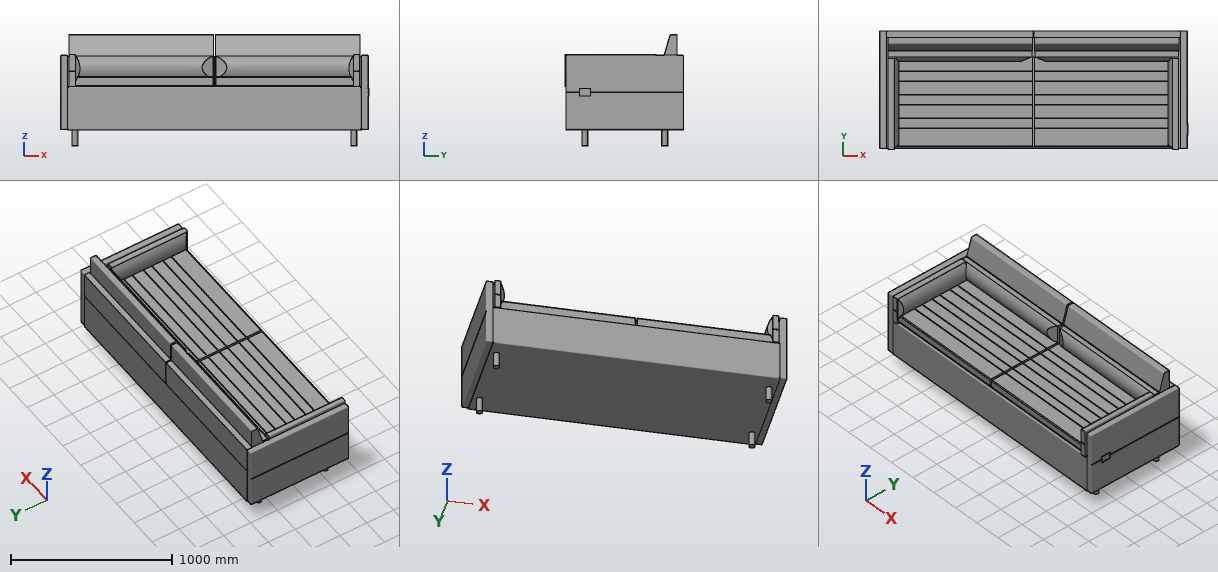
import cadquery as cq

TOTAL_LENGTH = 1915.0
TOTAL_DEPTH = 737.0
TOTAL_HEIGHT = 691.0
REAR_Y = TOTAL_DEPTH / 2
FRONT_Y = -TOTAL_DEPTH / 2

LEG_DIAMETER = 38.0
LEG_HEIGHT = 98.0
LEG_X = 865.0
LEG_REAR_INSET = 117.0
LEG_SPACING_Y = 496.0

LABEL_THICKNESS = 4.0
LABEL_WIDTH = 69.0
LABEL_HEIGHT = 46.0
LABEL_REAR_INSET = 613.0
PANEL_OUTER_X = (TOTAL_LENGTH - LABEL_THICKNESS) / 2
PANEL_THICKNESS = 45.0
PANEL_BOTTOM_Z = 101.0
PANEL_TOP_Z = 563.0
PANEL_FRONT_SETBACK = 5.0
PANEL_ROUNDING = 8.0
PANEL_MID_Z = (PANEL_BOTTOM_Z + PANEL_TOP_Z) / 2
PANEL_FRONT_Y = FRONT_Y + PANEL_FRONT_SETBACK
SEAM_WIDTH = 3.0
SEAM_DEPTH = 2.0

BASE_HALF_LENGTH = PANEL_OUTER_X - PANEL_THICKNESS
BASE_TOP_Z = 368.0
BASE_ROUNDING = 8.0

PAD_OUTER_X = 902.0
PAD_INNER_X = 864.0
PAD_TOP_Z = 569.0
PAD_REAR_Y = REAR_Y - 170.0
PAD_ROUNDING = 8.0
PAD_BULGE = 29.0
PAD_BULGE_TAPER = 23.0
PAD_SEAM_Z = 463.0

SEAT_TOP_Z = 430.0
SEAT_FRONT_SETBACK = 10.0
SEAT_TOP_ROUNDING = 11.0
SEAT_BOTTOM_ROUNDING = 4.0
PIPING_RADIUS = 4.8
SEAT_PLINTH_HEIGHT = 8.0
SEAT_PLINTH_SETBACK = 5.0
SEAT_GAP = 13.0
SEAT_GAP_BOTTOM_Z = 383.0
TUFT_PITCH = 145.0
TUFT_ROWS = 3
TUFT_FIRST_INSET = 250.0
TUFT_PAIR_SPACING = 63.0
TUFT_END_MARGIN = 23.0
TUFT_WIDTH = 2.9
TUFT_DEPTH = 2.3

ROLL_TOP_Z = 557.0
ROLL_REAR_INSET = 126.0
ROLL_FLAT_DEPTH = 35.0
ROLL_BULGE = 29.0
ROLL_BULGE_TAPER = 67.0
ROLL_GAP = 20.0
ROLL_FRONT_Y = REAR_Y - ROLL_REAR_INSET - ROLL_FLAT_DEPTH

STRIP_TOP_Z = 555.0
STRIP_GAP = 8.0
HEADREST_END_X = 904.0
HEADREST_REAR_INSET = 40.0
HEADREST_TOP_DEPTH = 45.0
HEADREST_FOOT_DEPTH = 82.0
HEADREST_SLOPE_FOOT_Z = 560.0
HEADREST_GAP = 11.0
HEADREST_ROUNDING = 13.0
HEADREST_REAR_ROUNDING = 4.0

MIRRORED_SIDES = (-1, 1)


def block(x_span, y_span, z_span):
    """Box between two limits on each axis, given in either order."""
    x_min, x_max = sorted(x_span)
    y_min, y_max = sorted(y_span)
    z_min, z_max = sorted(z_span)
    return cq.Workplane("XY").box(
        x_max - x_min, y_max - y_min, z_max - z_min, centered=False
    ).translate((x_min, y_min, z_min))


def make_leg(x, y):
    return cq.Workplane("XY").center(x, y).circle(LEG_DIAMETER / 2).extrude(LEG_HEIGHT)


def make_base():
    base = block(
        (-BASE_HALF_LENGTH, BASE_HALF_LENGTH), (PANEL_FRONT_Y, REAR_Y), (LEG_HEIGHT, BASE_TOP_Z)
    )
    return base.faces("<Y").edges().fillet(BASE_ROUNDING)


def make_side_panel(side):
    """Rounded slab with a stitched seam across its outer face; side is -1 or +1."""
    outer_x = side * PANEL_OUTER_X
    panel = block(
        (outer_x, side * BASE_HALF_LENGTH), (PANEL_FRONT_Y, REAR_Y), (PANEL_BOTTOM_Z, PANEL_TOP_Z)
    )
    panel = panel.edges().fillet(PANEL_ROUNDING)
    seam = block(
        (outer_x, outer_x - side * SEAM_DEPTH),
        (PANEL_FRONT_Y, REAR_Y),
        (PANEL_MID_Z - SEAM_WIDTH / 2, PANEL_MID_Z + SEAM_WIDTH / 2),
    )
    return panel.cut(seam)


def add_label(panel):
    """Raised label over the seam of the right-hand panel."""
    label_y = REAR_Y - LABEL_REAR_INSET
    label = block(
        (PANEL_OUTER_X - SEAM_DEPTH, PANEL_OUTER_X + LABEL_THICKNESS),
        (label_y - LABEL_WIDTH / 2, label_y + LABEL_WIDTH / 2),
        (PANEL_MID_Z - LABEL_HEIGHT / 2, PANEL_MID_Z + LABEL_HEIGHT / 2),
    )
    return panel.union(label)


def bulge_outline(plane, near, z_bottom, z_top, bulge):
    """Arc-backed profile that swells by `bulge` from `near` between two heights."""
    return (
        cq.Workplane(plane)
        .moveTo(near, z_bottom)
        .threePointArc((near + bulge, (z_bottom + z_top) / 2), (near, z_top))
        .close()
    )


def make_arm_pad(side):
    pad = block(
        (side * PAD_OUTER_X, side * PAD_INNER_X), (FRONT_Y, PAD_REAR_Y), (BASE_TOP_Z, PAD_TOP_Z)
    )
    pad = pad.edges("|Y and >Z").fillet(PAD_ROUNDING)

    seam = block(
        (side * PAD_OUTER_X, side * PAD_INNER_X),
        (FRONT_Y, FRONT_Y + SEAM_DEPTH),
        (PAD_SEAM_Z - SEAM_WIDTH / 2, PAD_SEAM_Z + SEAM_WIDTH / 2),
    )
    pad = pad.cut(seam)

    inner_x = side * PAD_INNER_X
    crest_x = inner_x - side * PAD_BULGE
    bulge_bottom_z = SEAT_TOP_Z - PAD_BULGE
    bulge_top_z = PAD_TOP_Z - PAD_ROUNDING
    bulge = bulge_outline("XZ", inner_x, bulge_bottom_z, bulge_top_z, -side * PAD_BULGE)
    bulge = bulge.extrude(-(PAD_REAR_Y - FRONT_Y)).translate((0, FRONT_Y, 0))
    taper = (
        cq.Workplane("XY")
        .polyline([
            (inner_x, FRONT_Y + PAD_ROUNDING),
            (crest_x, FRONT_Y + PAD_ROUNDING + PAD_BULGE_TAPER),
            (crest_x, PAD_REAR_Y),
            (inner_x, PAD_REAR_Y),
        ])
        .close()
        .extrude(TOTAL_HEIGHT)
    )
    return pad.union(bulge.intersect(taper))


def make_seat():
    """Pair of tufted seat cushions joined along their underside."""
    front_y = PANEL_FRONT_Y + SEAT_FRONT_SETBACK
    plinth_top_z = BASE_TOP_Z + SEAT_PLINTH_HEIGHT
    x_span = (-PAD_INNER_X, PAD_INNER_X)
    seat = block(x_span, (front_y, ROLL_FRONT_Y), (plinth_top_z, SEAT_TOP_Z))
    seat = seat.faces(">Z").edges("<Y").fillet(SEAT_TOP_ROUNDING)
    seat = seat.faces("<Z").edges("<Y").fillet(SEAT_BOTTOM_ROUNDING)
    plinth_front_y = front_y + SEAT_PLINTH_SETBACK
    seat = seat.union(block(x_span, (plinth_front_y, ROLL_FRONT_Y), (BASE_TOP_Z, plinth_top_z)))

    piping = (
        cq.Workplane("YZ")
        .center(front_y + SEAT_TOP_ROUNDING / 2, SEAT_TOP_Z - PIPING_RADIUS)
        .circle(PIPING_RADIUS)
        .extrude(PAD_INNER_X, both=True)
    )
    seat = seat.union(piping)

    centre_gap = block(
        (-SEAT_GAP / 2, SEAT_GAP / 2), (FRONT_Y, ROLL_FRONT_Y), (SEAT_GAP_BOTTOM_Z, SEAT_TOP_Z)
    )
    seat = seat.cut(centre_gap)

    tuft_end_x = PAD_INNER_X - TUFT_END_MARGIN
    for row in range(TUFT_ROWS):
        for offset in (0, TUFT_PAIR_SPACING):
            tuft_y = REAR_Y - TUFT_FIRST_INSET - row * TUFT_PITCH - offset
            tuft = block(
                (-tuft_end_x, tuft_end_x),
                (tuft_y - TUFT_WIDTH / 2, tuft_y + TUFT_WIDTH / 2),
                (SEAT_TOP_Z - TUFT_DEPTH, SEAT_TOP_Z),
            )
            seat = seat.cut(tuft)
    return seat


def make_back_roll(side):
    """Flat-topped back cushion with a swollen front face."""
    inner_x = side * ROLL_GAP / 2
    outer_x = side * PAD_OUTER_X
    roll = block(
        (inner_x, outer_x), (ROLL_FRONT_Y, REAR_Y - ROLL_REAR_INSET), (BASE_TOP_Z, ROLL_TOP_Z)
    )
    crest_y = ROLL_FRONT_Y - ROLL_BULGE
    bulge = bulge_outline("YZ", ROLL_FRONT_Y, SEAT_TOP_Z - ROLL_BULGE / 2, ROLL_TOP_Z, -ROLL_BULGE)
    bulge = bulge.extrude(side * PAD_OUTER_X)
    taper = (
        cq.Workplane("XY")
        .polyline([
            (inner_x, ROLL_FRONT_Y),
            (inner_x + side * ROLL_BULGE_TAPER, crest_y),
            (side * PAD_INNER_X, crest_y),
            (side * PAD_INNER_X, ROLL_FRONT_Y),
        ])
        .close()
        .extrude(TOTAL_HEIGHT)
    )
    return roll.union(bulge.intersect(taper))


def make_headrest(side):
    """Upright cushion with a raked front, standing between the rear strip and the roll."""
    back_y = REAR_Y - HEADREST_REAR_INSET
    roll_back_y = REAR_Y - ROLL_REAR_INSET
    headrest = (
        cq.Workplane("YZ")
        .polyline([
            (back_y, BASE_TOP_Z),
            (back_y, TOTAL_HEIGHT),
            (back_y - HEADREST_TOP_DEPTH, TOTAL_HEIGHT),
            (back_y - HEADREST_FOOT_DEPTH, HEADREST_SLOPE_FOOT_Z),
            (roll_back_y, ROLL_TOP_Z),
            (roll_back_y, BASE_TOP_Z),
        ])
        .close()
        .extrude(HEADREST_END_X - HEADREST_GAP / 2)
    )
    headrest = headrest.faces(">Z").edges("<Y").fillet(HEADREST_ROUNDING)
    headrest = headrest.faces(">Z").edges(">Y").fillet(HEADREST_REAR_ROUNDING)
    start_x = HEADREST_GAP / 2 if side > 0 else -HEADREST_END_X
    return headrest.translate((start_x, 0, 0))


def make_rear_strip(side):
    return block(
        (side * STRIP_GAP / 2, side * BASE_HALF_LENGTH),
        (REAR_Y - HEADREST_REAR_INSET, REAR_Y),
        (BASE_TOP_Z, STRIP_TOP_Z),
    )


def make_upholstery():
    """Seat, back rolls, headrests, rear strips and arm pads as one stitched body."""
    upholstery = make_seat()
    for side in MIRRORED_SIDES:
        upholstery = upholstery.union(make_back_roll(side))
        upholstery = upholstery.union(make_headrest(side))
        upholstery = upholstery.union(make_rear_strip(side))
        upholstery = upholstery.union(make_arm_pad(side))
    return upholstery


base = make_base()
left_panel = make_side_panel(-1)
right_panel = add_label(make_side_panel(1))
upholstery = make_upholstery()

legs = []
rear_leg_y = REAR_Y - LEG_REAR_INSET
for leg_x in (-LEG_X, LEG_X):
    for leg_y in (rear_leg_y, rear_leg_y - LEG_SPACING_Y):
        legs.append(make_leg(leg_x, leg_y).val())

result = cq.Compound.makeCompound(
    [base.val(), left_panel.val(), right_panel.val(), upholstery.val(), *legs]
)